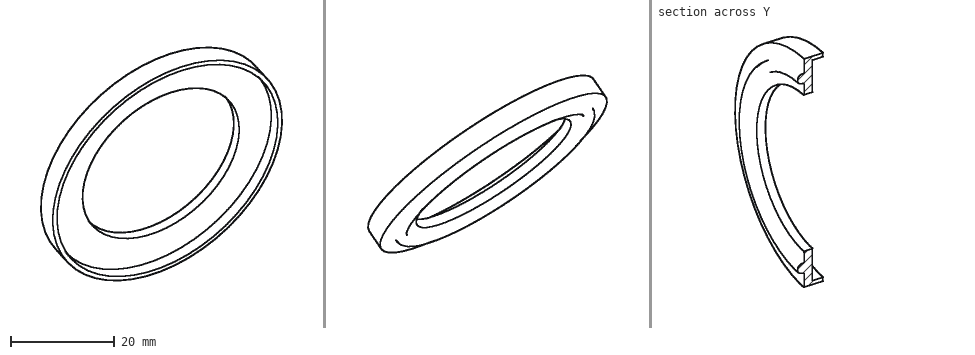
import cadquery as cq
import math

outer_diameter = 52.5
bore_diameter = 35.8
total_thickness = 5.8
bead_height = 1.5
rim_thickness = total_thickness - bead_height
web_thickness = 1.95
recess_diameter = 50.5

bead_centre_radius = 21.75
bead_crown_radius = 1.19
bead_fillet_radius = 0.22

crown_centre_x = bead_crown_radius - bead_height
fillet_centre_x = -bead_fillet_radius
centre_distance = bead_crown_radius + bead_fillet_radius
foot_offset = math.sqrt(centre_distance**2 - (crown_centre_x - fillet_centre_x) ** 2)
inner_foot_radius = bead_centre_radius - foot_offset
outer_foot_radius = bead_centre_radius + foot_offset

web_face_angle = math.radians(1.0)


def half_plane():
    """Sketch plane holding the cross-section: local x is X, local y is the radius."""
    return cq.Workplane("XZ")


def revolve_about_x(profile):
    return profile.revolve(360, (0, 0, 0), (1, 0, 0))


def make_ring():
    """Web and rim, with the rim's -X face on the plane X = 0."""
    bore_radius = bore_diameter / 2
    rise_at_bore = (inner_foot_radius - bore_radius) * math.tan(web_face_angle)
    profile = (
        half_plane()
        .moveTo(-rise_at_bore, bore_radius)
        .lineTo(0, inner_foot_radius)
        .lineTo(0, outer_diameter / 2)
        .lineTo(rim_thickness, outer_diameter / 2)
        .lineTo(rim_thickness, recess_diameter / 2)
        .lineTo(web_thickness, recess_diameter / 2)
        .lineTo(web_thickness, bore_radius)
        .close()
    )
    return revolve_about_x(profile)


def make_bead():
    """Round crown blended tangentially into the web by a concave fillet on each side."""
    crown_share = bead_crown_radius / centre_distance
    tangent_x = crown_centre_x + crown_share * (fillet_centre_x - crown_centre_x)
    tangent_offset = crown_share * foot_offset

    chord_x = tangent_x / 2 - fillet_centre_x
    chord_offset = (tangent_offset - foot_offset) / 2
    stretch = bead_fillet_radius / math.hypot(chord_x, chord_offset)
    fillet_middle_x = fillet_centre_x + stretch * chord_x
    fillet_middle_offset = foot_offset + stretch * chord_offset

    profile = (
        half_plane()
        .moveTo(0, inner_foot_radius)
        .threePointArc(
            (fillet_middle_x, bead_centre_radius - fillet_middle_offset),
            (tangent_x, bead_centre_radius - tangent_offset),
        )
        .threePointArc(
            (-bead_height, bead_centre_radius),
            (tangent_x, bead_centre_radius + tangent_offset),
        )
        .threePointArc(
            (fillet_middle_x, bead_centre_radius + fillet_middle_offset),
            (0, outer_foot_radius),
        )
        .close()
    )
    return revolve_about_x(profile)


result = make_ring().union(make_bead())